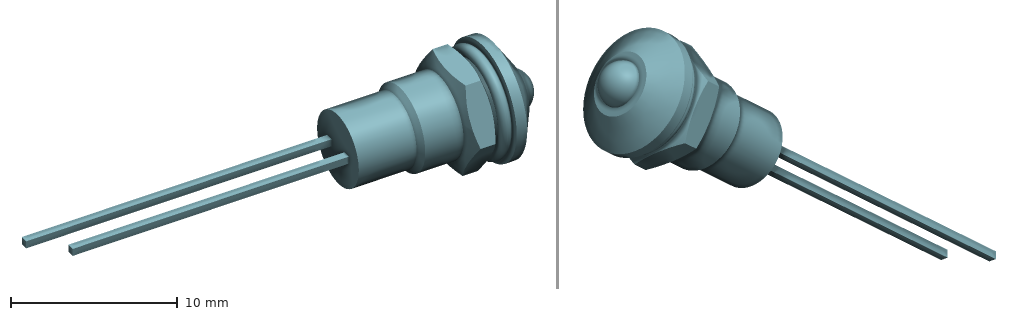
import cadquery as cq
import math

TOTAL_LENGTH = 34.38
TIP_Y = TOTAL_LENGTH / 2

DOME_RADIUS = 1.5
DOME_DEPTH = 1.27
HEAD_FACE_RADIUS = 2.05
HEAD_RADIUS = 8.0 / 2
HEAD_CONE_END = 2.55
FLANGE_END = 3.25
BARREL_RADIUS = 2.9
BARREL_END = 8.95
TAIL_RADIUS = 2.5
TAIL_START = BARREL_END + (BARREL_RADIUS - TAIL_RADIUS)
TAIL_END = 13.3

RING_SECTION_RADIUS = 0.4

NUT_CORNER_RADIUS = 4.0
NUT_LENGTH = 2.13
NUT_START = 4.15
NUT_TURN = 3.0
NUT_CORNER_EDGE = 1.03

LEAD_WIDTH = 0.5
LEAD_X = 1.03
LONG_LEAD_END = TOTAL_LENGTH
SHORT_LEAD_END = 32.35


def revolve_about_y(profile):
    return profile.close().revolve(360, (0, 0, 0), (0, 1, 0))


def make_housing():
    dome_center_y = TIP_Y - DOME_RADIUS
    dome_base_y = TIP_Y - DOME_DEPTH
    dome_base_radius = math.sqrt(DOME_RADIUS**2 - (dome_base_y - dome_center_y)**2)
    dome_mid = DOME_RADIUS * math.sqrt(0.5)
    profile = (
        cq.Workplane("XY")
        .moveTo(0, TIP_Y)
        .threePointArc((dome_mid, dome_center_y + dome_mid), (dome_base_radius, dome_base_y))
        .lineTo(HEAD_FACE_RADIUS, dome_base_y)
        .lineTo(HEAD_RADIUS, TIP_Y - HEAD_CONE_END)
        .lineTo(HEAD_RADIUS, TIP_Y - FLANGE_END)
        .lineTo(BARREL_RADIUS, TIP_Y - FLANGE_END)
        .lineTo(BARREL_RADIUS, TIP_Y - BARREL_END)
        .lineTo(TAIL_RADIUS, TIP_Y - TAIL_START)
        .lineTo(TAIL_RADIUS, TIP_Y - TAIL_END)
        .lineTo(0, TIP_Y - TAIL_END)
    )
    return revolve_about_y(profile)


def make_ring():
    section_center_radius = BARREL_RADIUS + RING_SECTION_RADIUS
    section_center_y = TIP_Y - FLANGE_END - RING_SECTION_RADIUS
    return (
        cq.Workplane("XY")
        .moveTo(section_center_radius, section_center_y)
        .circle(RING_SECTION_RADIUS)
        .revolve(360, (0, 0, 0), (0, 1, 0))
    )


def make_nut():
    front_y = TIP_Y - NUT_START
    back_y = front_y - NUT_LENGTH
    cone_length = (NUT_LENGTH - NUT_CORNER_EDGE) / 2
    hexagon = (
        cq.Workplane("XZ", origin=(0, front_y, 0))
        .polygon(6, 2 * NUT_CORNER_RADIUS)
        .extrude(NUT_LENGTH)
        .rotate((0, 0, 0), (0, 1, 0), NUT_TURN)
    )
    envelope = revolve_about_y(
        cq.Workplane("XY")
        .moveTo(BARREL_RADIUS, front_y)
        .lineTo(NUT_CORNER_RADIUS, front_y - cone_length)
        .lineTo(NUT_CORNER_RADIUS, back_y + cone_length)
        .lineTo(BARREL_RADIUS, back_y)
    )
    return hexagon.intersect(envelope)


def make_lead(x, end_depth):
    return (
        cq.Workplane("XZ", origin=(x, TIP_Y - TAIL_END, 0))
        .rect(LEAD_WIDTH, LEAD_WIDTH)
        .extrude(end_depth - TAIL_END)
    )


housing = make_housing()
sealing_ring = make_ring()
nut = make_nut()
leads = [
    make_lead(x, end_depth)
    for x, end_depth in ((-LEAD_X, LONG_LEAD_END), (LEAD_X, SHORT_LEAD_END))
]

result = cq.Compound.makeCompound(
    [housing.val(), sealing_ring.val(), nut.val(), *[lead.val() for lead in leads]]
)